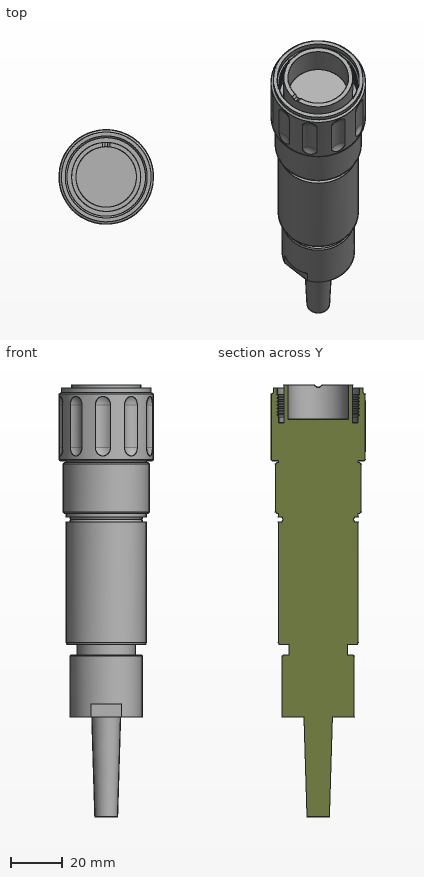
import cadquery as cq

total_height = 167.0

cable_tip_diameter = 8.8
cable_root_diameter = 11.2

nut_radius = 14.0
nut_bottom = 38.5
nut_top = 62.6
nut_chamfer = 0.5
flat_distance = 12.7
flat_height = 5.0

lower_neck_radius = 11.4
sleeve_radius = 15.5
sleeve_bottom = 66.6
sleeve_top = 114.0
sleeve_chamfer_height = 0.8
sleeve_chamfer_width = 0.3
upper_neck_end_radius = 14.2
upper_neck_waist_radius = 13.7
upper_neck_top = 115.8

shoulder_radius = 15.5
ring_radius = 16.7
ring_bottom = 117.2
ring_top = 137.0
ring_chamfer = 0.7

collar_diameter = 36.5
collar_radius = collar_diameter / 2
collar_bottom = 137.5
collar_shoulder = 164.0
collar_top = 165.8
collar_rim_radius = 17.4
collar_bottom_chamfer = 0.5
collar_bevel_height = 0.5

gap_radius = 15.9
gap_depth = 13.4
thread_crest_radius = 15.2
thread_start_depth = 2.5
thread_pitch = 1.3
thread_count = 6
insert_radius = 13.4
bore_radius = 11.7
bore_depth = 13.2
notch_top_width = 3.0
notch_floor_width = 1.0
notch_depth = 0.8

groove_count = 10
first_groove_angle = 14.0
groove_radius = 5.0
groove_cut_depth = 1.2
groove_low = 142.7
groove_high = 159.3


def cylinder(radius, bottom, top):
    return cq.Workplane("XY").workplane(offset=bottom).circle(radius).extrude(top - bottom)


def make_cable():
    return (
        cq.Workplane("XY")
        .circle(cable_tip_diameter / 2)
        .workplane(offset=nut_bottom)
        .circle(cable_root_diameter / 2)
        .loft()
    )


def make_nut():
    nut = cylinder(nut_radius, nut_bottom, nut_top).faces(">Z").chamfer(nut_chamfer)
    for side in (-1, 1):
        cutter = (
            cq.Workplane("XY")
            .workplane(offset=nut_bottom)
            .center(0, side * (flat_distance + nut_radius / 2))
            .rect(2 * nut_radius, nut_radius)
            .extrude(flat_height)
        )
        nut = nut.cut(cutter)
    return nut


def make_upper_neck():
    neck = cq.Workplane("XZ").moveTo(0, sleeve_top).lineTo(upper_neck_end_radius, sleeve_top)
    neck = neck.lineTo(upper_neck_waist_radius, (sleeve_top + upper_neck_top) / 2)
    neck = neck.lineTo(upper_neck_end_radius, upper_neck_top).lineTo(0, upper_neck_top).close()
    return neck.revolve(360, (0, 0, 0), (0, 1, 0))


def make_body():
    lower_neck = cylinder(lower_neck_radius, nut_top, sleeve_bottom)
    sleeve = cylinder(sleeve_radius, sleeve_bottom, sleeve_top)
    sleeve = sleeve.faces("<Z").chamfer(sleeve_chamfer_height, sleeve_chamfer_width)
    shoulder = cylinder(shoulder_radius, upper_neck_top, collar_bottom)
    ring = cylinder(ring_radius, ring_bottom, ring_top).faces("<Z or >Z").chamfer(ring_chamfer)
    return lower_neck.union(sleeve).union(make_upper_neck()).union(shoulder).union(ring)


def make_finger_groove(angle):
    axis_distance = collar_radius - groove_cut_depth + groove_radius
    cutter = cylinder(groove_radius, groove_low, groove_high)
    for end in (groove_low, groove_high):
        cutter = cutter.union(cq.Workplane("XY").sphere(groove_radius).translate((0, 0, end)))
    return cutter.translate((axis_distance, 0, 0)).rotate((0, 0, 0), (0, 0, 1), angle)


def make_collar():
    collar = cylinder(collar_radius, collar_bottom, collar_shoulder)
    collar = collar.faces("<Z").chamfer(collar_bottom_chamfer)
    bevel_width = collar_radius - collar_rim_radius
    collar = collar.faces(">Z").chamfer(collar_bevel_height, bevel_width)
    collar = collar.union(cylinder(collar_rim_radius, collar_shoulder, collar_top))
    for index in range(groove_count):
        collar = collar.cut(make_finger_groove(first_groove_angle + index * 360 / groove_count))
    return collar.cut(make_gap())


def make_gap():
    thread_top = collar_top - thread_start_depth
    entry_end = thread_top - (gap_radius - thread_crest_radius)
    profile = cq.Workplane("XZ").moveTo(0, collar_top).lineTo(gap_radius, collar_top)
    profile = profile.lineTo(gap_radius, thread_top).lineTo(thread_crest_radius, entry_end)
    for index in range(thread_count):
        groove_start = entry_end - index * thread_pitch
        profile = profile.lineTo(gap_radius, groove_start - thread_pitch / 2)
        profile = profile.lineTo(thread_crest_radius, groove_start - thread_pitch)
    gap_floor = collar_top - gap_depth
    profile = profile.lineTo(thread_crest_radius, gap_floor).lineTo(0, gap_floor).close()
    return profile.revolve(360, (0, 0, 0), (0, 1, 0))


def make_insert():
    insert = cylinder(insert_radius, collar_top - gap_depth, total_height)
    insert = insert.cut(cylinder(bore_radius, total_height - bore_depth, total_height))
    notch_floor = total_height - notch_depth
    notch = (
        cq.Workplane("XZ")
        .moveTo(-notch_floor_width / 2, notch_floor)
        .lineTo(notch_floor_width / 2, notch_floor)
        .lineTo(notch_top_width / 2, total_height)
        .lineTo(-notch_top_width / 2, total_height)
        .close()
        .extrude(-insert_radius)
    )
    return insert.cut(notch)


result = make_cable().union(make_nut()).union(make_body()).union(make_collar()).union(make_insert())